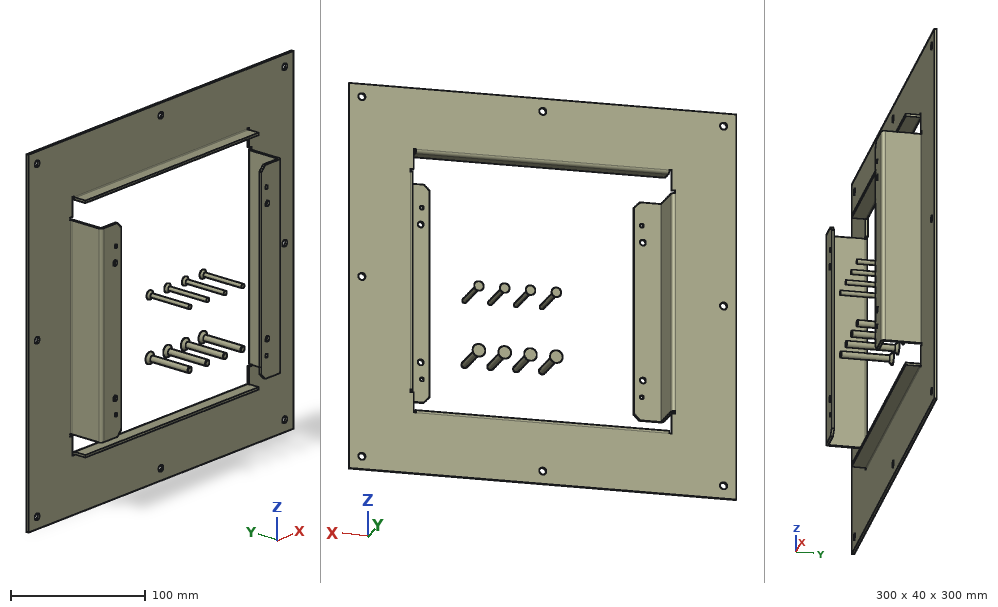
import cadquery as cq


PANEL_SIZE = 300.0
SHEET = 2.0
INNER_BEND_RADIUS = 0.5
OUTER_BEND_RADIUS = INNER_BEND_RADIUS + SHEET
MOUNT_HOLE_DIA = 5.5
MOUNT_HOLE_PITCH = 140.0

FLANGE_OUTER_FACE = 102.0
FLANGE_INNER_FACE = FLANGE_OUTER_FACE - SHEET
BEND_START = FLANGE_OUTER_FACE + INNER_BEND_RADIUS
FLANGE_ROOT = BEND_START + SHEET

SHORT_FLANGE_LENGTH = 196.2
SHORT_FLANGE_DEPTH = 13.0

TALL_FLANGE_LENGTH = 169.8
TALL_FLANGE_DEPTH = 32.0
LIP_WIDTH = 22.8
LIP_CHAMFER = 4.5
RELIEF_GAP = 2.0

LIP_SMALL_HOLE = (3.0, 85.2, 67.0)
LIP_LARGE_HOLE = (4.5, 86.0, 53.7)

SCREW_LENGTH = 40.0
SCREW_COUNT = 4
FIRST_SCREW_X = -10.5
LAST_SCREW_X = 49.5
SCREW_PITCH = (LAST_SCREW_X - FIRST_SCREW_X) / (SCREW_COUNT - 1)
SMALL_SCREW_Z = 0.0
LARGE_SCREW_Z = -50.0
SMALL_SHANK_DIA = 3.5
SMALL_HEAD_DIA = 7.5
LARGE_SHANK_DIA = 5.0
LARGE_HEAD_DIA = 10.0
HEAD_RIM = 0.3
LARGE_TIP_CHAMFER = 0.45


def block(width, depth, height, x, z):
    """Box centred on x and z whose back face lies at Y = 0."""
    return cq.Workplane("XY").box(width, depth, height).translate((x, -depth / 2, z))


def holes_along_y(diameter, points):
    """Cylinders along -Y, long enough to pass through the whole panel body."""
    return cq.Workplane("XZ").pushPoints(points).circle(diameter / 2).extrude(TALL_FLANGE_DEPTH)


def turned(body, quarter_turns):
    """Copy of a body turned about the panel's centre line along Y."""
    return body.rotate((0, 0, 0), (0, 1, 0), 90 * quarter_turns)


def make_sheet():
    """Flat sheet with its window, opened up to the bends along each flange."""
    window_width = 2 * FLANGE_INNER_FACE
    opening_size = 2 * BEND_START
    sheet = block(PANEL_SIZE, SHEET, PANEL_SIZE, 0, 0)
    sheet = sheet.cut(block(window_width, SHEET, opening_size, 0, 0))
    sheet = sheet.cut(block(opening_size, SHEET, TALL_FLANGE_LENGTH + 2 * RELIEF_GAP, 0, 0))
    steps = (-MOUNT_HOLE_PITCH, 0, MOUNT_HOLE_PITCH)
    mount_points = [(x, z) for x in steps for z in steps if (x, z) != (0, 0)]
    return sheet.cut(holes_along_y(MOUNT_HOLE_DIA, mount_points))


def bent_strip(corners, length):
    """Strip extruded along Z from an outline in the XY plane."""
    return cq.Workplane("XY").polyline(corners).close().extrude(length / 2, both=True)


def root_bend(flange):
    """Round the bend that joins a -X flange to the sheet, outside and inside."""
    flange = flange.edges(cq.selectors.NearestToPointSelector((-FLANGE_INNER_FACE, 0, 0)))
    flange = flange.fillet(OUTER_BEND_RADIUS)
    flange = flange.edges(cq.selectors.NearestToPointSelector((-FLANGE_OUTER_FACE, -SHEET, 0)))
    return flange.fillet(INNER_BEND_RADIUS)


def make_short_flange():
    """Straight flange, built at the -X edge of the window."""
    profile = [
        (-FLANGE_ROOT, 0),
        (-FLANGE_INNER_FACE, 0),
        (-FLANGE_INNER_FACE, -SHORT_FLANGE_DEPTH),
        (-FLANGE_OUTER_FACE, -SHORT_FLANGE_DEPTH),
        (-FLANGE_OUTER_FACE, -SHEET),
        (-FLANGE_ROOT, -SHEET),
    ]
    return root_bend(bent_strip(profile, SHORT_FLANGE_LENGTH))


def make_tall_flange():
    """Flange on the -X side: a web running toward -Y and a lip turned inward."""
    lip_edge = LIP_WIDTH - FLANGE_OUTER_FACE
    lip_back = SHEET - TALL_FLANGE_DEPTH
    profile = [
        (-FLANGE_ROOT, 0),
        (-FLANGE_INNER_FACE, 0),
        (-FLANGE_INNER_FACE, lip_back),
        (lip_edge, lip_back),
        (lip_edge, -TALL_FLANGE_DEPTH),
        (-FLANGE_OUTER_FACE, -TALL_FLANGE_DEPTH),
        (-FLANGE_OUTER_FACE, -SHEET),
        (-FLANGE_ROOT, -SHEET),
    ]
    flange = root_bend(bent_strip(profile, TALL_FLANGE_LENGTH))
    lip_outer_corner = (-FLANGE_OUTER_FACE, -TALL_FLANGE_DEPTH, 0)
    lip_inner_corner = (-FLANGE_INNER_FACE, lip_back, 0)
    flange = flange.edges(cq.selectors.NearestToPointSelector(lip_outer_corner)).fillet(OUTER_BEND_RADIUS)
    flange = flange.edges(cq.selectors.NearestToPointSelector(lip_inner_corner)).fillet(INNER_BEND_RADIUS)
    flange = flange.edges("|Y and >X").chamfer(LIP_CHAMFER)
    for diameter, x, z in (LIP_SMALL_HOLE, LIP_LARGE_HOLE):
        flange = flange.cut(holes_along_y(diameter, [(-x, -z), (-x, z)]))
    return flange


def make_panel():
    """Sheet and its four flanges as one bent piece."""
    panel = make_sheet()
    tall_flange = make_tall_flange()
    short_flange = make_short_flange()
    for quarter_turns in (0, 2):
        panel = panel.union(turned(tall_flange, quarter_turns))
        panel = panel.union(turned(short_flange, quarter_turns + 1))
    return panel


def make_screw(shank_dia, head_dia, x, z):
    """Countersunk screw pointing toward -Y, its flat head face at Y = 0."""
    shank_radius = shank_dia / 2
    head_radius = head_dia / 2
    cone_end = HEAD_RIM + head_radius - shank_radius
    half_profile = [
        (0, 0),
        (0, head_radius),
        (-HEAD_RIM, head_radius),
        (-cone_end, shank_radius),
        (-SCREW_LENGTH, shank_radius),
        (-SCREW_LENGTH, 0),
    ]
    screw = cq.Workplane("YZ").polyline(half_profile).close().revolve(360, (0, 0), (1, 0))
    return screw.translate((x, 0, z))


def make_large_screw(x):
    """Large screw with its tip chamfered."""
    screw = make_screw(LARGE_SHANK_DIA, LARGE_HEAD_DIA, x, LARGE_SCREW_Z)
    return screw.faces("<Y").chamfer(LARGE_TIP_CHAMFER)


def make_small_screw(x):
    """Small screw with a plain tip."""
    return make_screw(SMALL_SHANK_DIA, SMALL_HEAD_DIA, x, SMALL_SCREW_Z)


panel = make_panel()
small_screws = []
large_screws = []
for i in range(SCREW_COUNT):
    screw_x = FIRST_SCREW_X + i * SCREW_PITCH
    small_screws.append(make_small_screw(screw_x).val())
    large_screws.append(make_large_screw(screw_x).val())

result = cq.Compound.makeCompound([panel.val(), *small_screws, *large_screws])